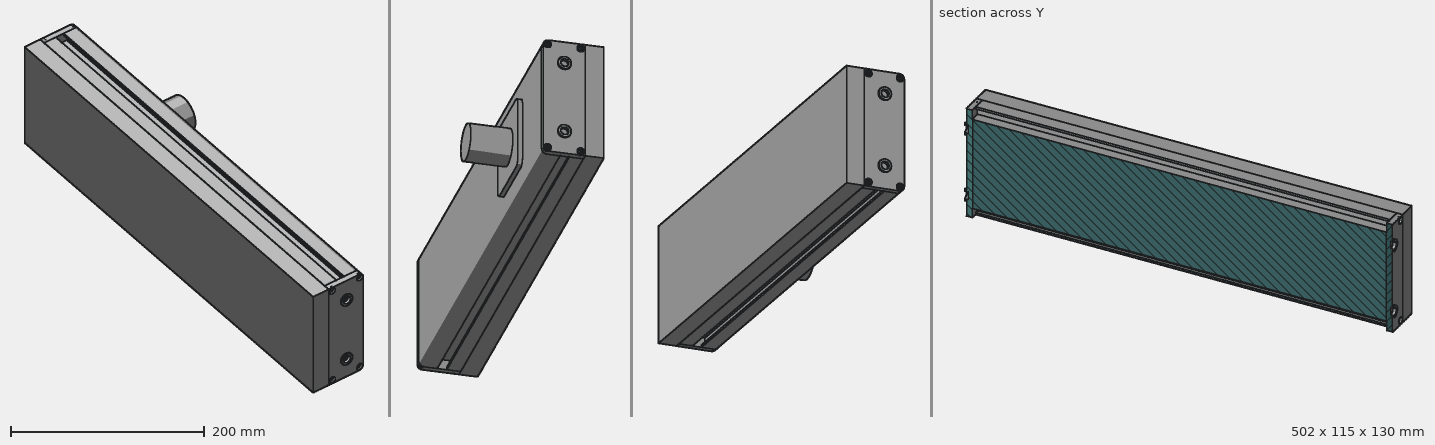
import cadquery as cq

overall_length = 502.0
overall_depth = 115.0
boss_height = 2.0
length = overall_length - 2 * boss_height
height = 130.0
depth = height / 2
front_y = 0.0
back_y = front_y + depth

block_depth = 20.0
block_back_y = front_y + block_depth

cap_thickness = 7.0
profile_length = length - 2 * cap_thickness
profile_depth = depth - block_depth
back_edge_round = 6.0
slot_width = 10.0
slot_undercut_width = 18.0
slot_lip = 2.5
slot_depth = 11.0
slot_y = 40.0

boss_diameter = 14.0
boss_hole_diameter = 8.5
boss_hole_depth = 4.0
boss_y = block_back_y + profile_depth / 2
boss_spacing = 80.0
screw_head_diameter = 7.5
screw_head_depth = 3.0
screw_hole_diameter = 5.0
screw_inset = 4.75

connector_x = -127.5
flange_size = 79.5
flange_thickness = 5.0
flange_corner_radius = 7.5
pipe_diameter = 40.0
pipe_length = overall_depth - depth - flange_thickness


def box_between(x_size, y_start, y_size):
    """Full-height box centred on X and Z, running back from y_start."""
    return cq.Workplane("XY").box(x_size, y_size, height).translate((0, y_start + y_size / 2, 0))


def rear_section(x_size):
    """Bar behind the front block with both long back edges rounded."""
    return box_between(x_size, block_back_y, profile_depth).edges("|X and >Y").fillet(back_edge_round)


def make_profile():
    """Long profile with a T-slot running along its top and bottom faces."""
    undercut_height = slot_depth - slot_lip
    neck = cq.Workplane("XY").box(profile_length, slot_width, 2 * slot_depth)
    undercut = cq.Workplane("XY").box(profile_length, slot_undercut_width, undercut_height)
    profile = rear_section(profile_length)
    for side in (-1, 1):
        face_z = side * height / 2
        undercut_z = face_z - side * (slot_lip + undercut_height / 2)
        profile = profile.cut(neck.translate((0, slot_y, face_z)))
        profile = profile.cut(undercut.translate((0, slot_y, undercut_z)))
    return profile


def make_end_cap(side):
    """End cap; side is -1 for the -X end and +1 for the +X end."""
    cap = rear_section(cap_thickness).translate((side * (length - cap_thickness) / 2, 0, 0))
    outer_face = cq.Plane(origin=(side * length / 2, 0, 0), xDir=(0, 1, 0), normal=(side, 0, 0))
    boss_points = [(boss_y, -boss_spacing / 2), (boss_y, boss_spacing / 2)]
    screw_points = [
        (y, z)
        for y in (block_back_y + screw_inset, back_y - screw_inset)
        for z in (-height / 2 + screw_inset, height / 2 - screw_inset)
    ]
    bosses = (
        cq.Workplane(outer_face).pushPoints(boss_points)
        .circle(boss_diameter / 2).extrude(boss_height)
    )
    boss_holes = (
        cq.Workplane(outer_face).workplane(offset=boss_height).pushPoints(boss_points)
        .circle(boss_hole_diameter / 2).extrude(-boss_hole_depth)
    )
    screw_heads = (
        cq.Workplane(outer_face).pushPoints(screw_points)
        .circle(screw_head_diameter / 2).extrude(-screw_head_depth)
    )
    screw_holes = (
        cq.Workplane(outer_face).pushPoints(screw_points)
        .circle(screw_hole_diameter / 2).extrude(-cap_thickness)
    )
    return cap.union(bosses).cut(boss_holes).cut(screw_heads).cut(screw_holes)


def make_connector():
    """Square flange lying on the back face, with the pipe standing on it."""
    flange = (
        cq.Workplane("XZ", origin=(connector_x, back_y, 0))
        .rect(flange_size, flange_size).extrude(-flange_thickness)
        .edges("|Y").fillet(flange_corner_radius)
    )
    pipe = (
        cq.Workplane("XZ", origin=(connector_x, back_y + flange_thickness, 0))
        .circle(pipe_diameter / 2).extrude(-pipe_length)
    )
    return flange.union(pipe)


front_block = box_between(length, front_y, block_depth)
profile = make_profile()
end_caps = [make_end_cap(side) for side in (-1, 1)]
connector = make_connector()

result = cq.Compound.makeCompound(
    [front_block.val(), profile.val(), *[cap.val() for cap in end_caps], connector.val()]
)